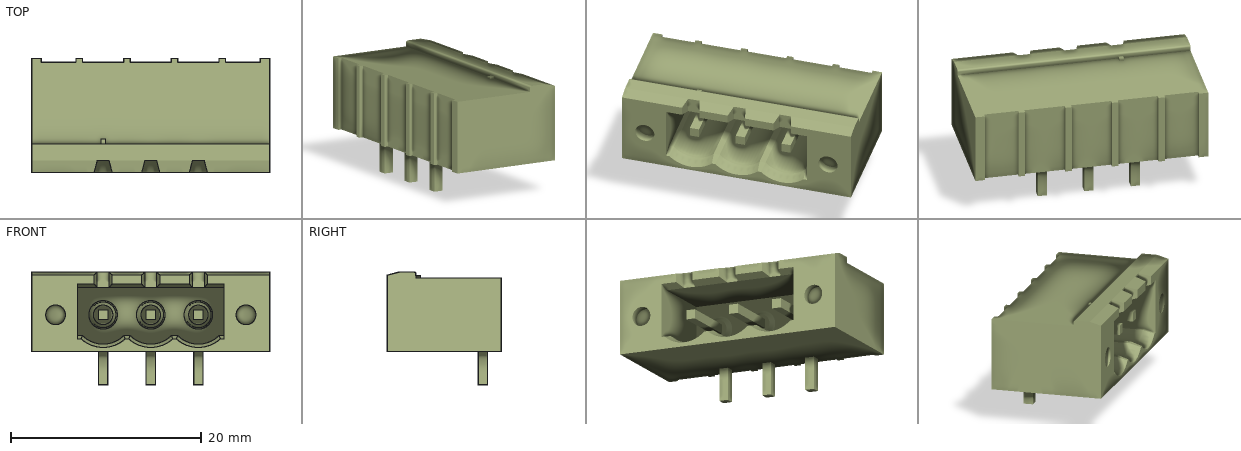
import cadquery as cq


pole_count = 3
pitch = 5.0
pole_xs = [(i - (pole_count - 1) / 2) * pitch for i in range(pole_count)]
axis_height = 3.85

length = 25.0
depth = 12.0
height = 8.35
rear_height = 7.72
latch_depth = 3.02
latch_corner_radius = 0.2
lead_in_depth = 1.25
lead_in_drop = 0.32

cavity_width = 15.35
cavity_depth = 8.5
cavity_floor = 1.68
cavity_ceiling = 6.72
cavity_flare = 0.38
floor_flare = 0.35
bowl_radius = 3.08

notch_width = 1.25
notch_flare = 0.32

flange_hole_diameter = 2.08
flange_hole_depth = 1.0
flange_hole_spacing = 20.0

rib_height = 0.4
rib_width = 0.7
end_rib_width = 1.02
ribs_between_poles = pole_count + 1

mark_size = 0.5
mark_height = 0.25

pin_thickness = 1.0
pin_tip = 1.5
pin_tail_center = 10.05
pin_tail_length = 3.5

collar_base_radius = 1.5
collar_shoulder_radius = 1.35
collar_nose_radius = 1.02
collar_shoulder_height = 0.08
collar_height = 0.4


def box(x_range, y_range, z_range):
    """Box between the given lower and upper limits on each axis."""
    lows, highs = zip(x_range, y_range, z_range)
    sizes = [high - low for low, high in zip(lows, highs)]
    return cq.Workplane("XY").box(*sizes, centered=False).translate(lows)


def flared_box(half_width, side_flare, bottom, top, top_flare):
    """Opening that narrows from the front face to its nominal size at the lead-in depth."""

    def section(y, side, upper):
        corners = [(-side, bottom), (side, bottom), (side, upper), (-side, upper)]
        return cq.Wire.makePolygon([cq.Vector(x, y, z) for x, z in corners], close=True)

    front = section(0, half_width + side_flare, top + top_flare)
    back = section(lead_in_depth, half_width, top)
    return cq.Workplane(cq.Solid.makeLoft([front, back], True))


def make_block():
    """Side profile with the raised front latch ridge, extruded along X."""
    block = (
        cq.Workplane("YZ")
        .polyline(
            [
                (0, 0),
                (depth, 0),
                (depth, rear_height),
                (latch_depth, rear_height),
                (latch_depth, height),
                (lead_in_depth, height),
                (0, height - lead_in_drop),
            ]
        )
        .close()
        .extrude(length / 2, both=True)
    )
    ridge_corner = cq.selectors.NearestToPointSelector((0, latch_depth, height))
    return block.edges(ridge_corner).fillet(latch_corner_radius)


def cut_rear_recesses(block):
    """Leave full-height ribs standing between shallow recesses in the rear face."""
    end_rib_edge = length / 2 - end_rib_width
    rib_xs = [(i - (ribs_between_poles - 1) / 2) * pitch for i in range(ribs_between_poles)]
    starts = [-end_rib_edge] + [x + rib_width / 2 for x in rib_xs]
    ends = [x - rib_width / 2 for x in rib_xs] + [end_rib_edge]
    for start, end in zip(starts, ends):
        block = block.cut(box((start, end), (depth - rib_height, depth), (0, rear_height)))
    return block


def make_cavity():
    """Plug space: a flared rectangular opening with one round bowl below each pole."""
    half_width = cavity_width / 2
    cavity = box((-half_width, half_width), (0, cavity_depth), (cavity_floor, cavity_ceiling))
    cavity = cavity.union(flared_box(half_width, 0, cavity_floor, cavity_ceiling, cavity_flare))

    sill = (
        cq.Workplane("YZ")
        .polyline([(0, cavity_floor), (lead_in_depth, cavity_floor), (0, cavity_floor - floor_flare)])
        .close()
        .extrude(half_width, both=True)
    )
    cavity = cavity.union(sill)

    bowl_profile = [
        (0, 0),
        (bowl_radius + floor_flare, 0),
        (bowl_radius, lead_in_depth),
        (bowl_radius, cavity_depth),
        (0, cavity_depth),
    ]
    bowl = cq.Workplane("XY").polyline(bowl_profile).close().revolve(360, (0, 0, 0), (0, 1, 0))
    lower_half = box((-half_width, half_width), (0, cavity_depth), (0, axis_height))
    for x in pole_xs:
        cavity = cavity.union(bowl.translate((x, 0, axis_height)).intersect(lower_half))
    return cavity


def make_housing():
    """Moulded body, before the openings for the pins are cut."""
    housing = cut_rear_recesses(make_block()).cut(make_cavity())

    for x in pole_xs:
        notch = flared_box(notch_width / 2, notch_flare, cavity_ceiling, height, 0)
        housing = housing.cut(notch.translate((x, 0, 0)))

    hole = cq.Workplane("XZ").circle(flange_hole_diameter / 2).extrude(-flange_hole_depth)
    for side in (-1, 1):
        housing = housing.cut(hole.translate((side * flange_hole_spacing / 2, 0, axis_height)))

    mark_x = pole_xs[0]
    mark = box(
        (mark_x - mark_size / 2, mark_x + mark_size / 2),
        (latch_depth, latch_depth + mark_size),
        (rear_height, rear_height + mark_height),
    )
    return housing.union(mark)


def make_pin(x):
    """Square pin running back from its tip and bent down into a solder tail."""
    half = pin_thickness / 2
    profile = [
        (pin_tip, axis_height + half),
        (pin_tail_center + half, axis_height + half),
        (pin_tail_center + half, -pin_tail_length),
        (pin_tail_center - half, -pin_tail_length),
        (pin_tail_center - half, axis_height - half),
        (pin_tip, axis_height - half),
    ]
    pin = cq.Workplane("YZ").polyline(profile).close().extrude(half, both=True)
    return pin.translate((x, 0, 0))


def make_collar(x):
    """Ring tapering forwards from the cavity's rear wall, before its pin opening is cut."""
    profile = [
        (0, cavity_depth),
        (collar_base_radius, cavity_depth),
        (collar_shoulder_radius, cavity_depth - collar_shoulder_height),
        (collar_nose_radius, cavity_depth - collar_height),
        (0, cavity_depth - collar_height),
    ]
    collar = cq.Workplane("XY").polyline(profile).close().revolve(360, (0, 0, 0), (0, 1, 0))
    return collar.translate((x, 0, axis_height))


housing = make_housing()
pins = []
collars = []
for pole_x in pole_xs:
    pin = make_pin(pole_x)
    pins.append(pin)
    collars.append(make_collar(pole_x).cut(pin))
    housing = housing.cut(pin)

result = cq.Compound.makeCompound(
    [housing.val()] + [pin.val() for pin in pins] + [collar.val() for collar in collars]
)